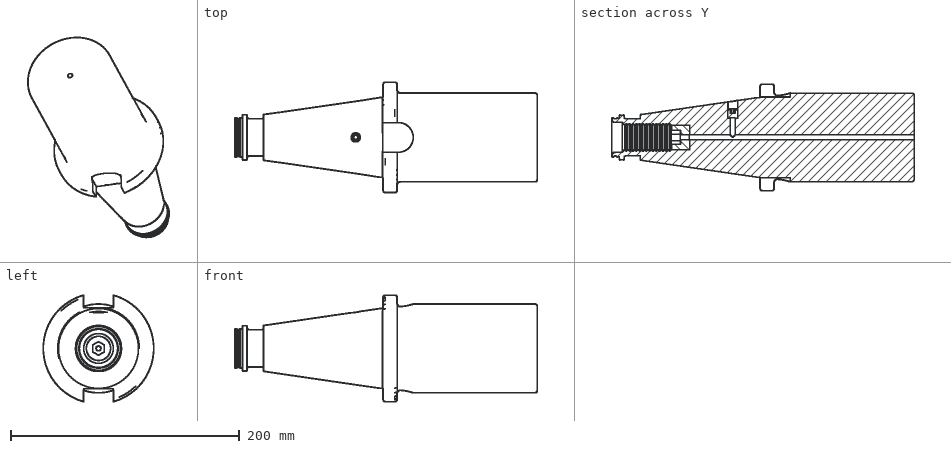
import cadquery as cq

LENGTH = 264.8
SHOULDER_X = 25.0
GAUGE_X = 126.8
GAUGE_RADIUS = 35.0
TAPER_SLOPE = 7 / 48
SHOULDER_CHAMFER = 0.65
FLANGE_X = 129.8
FLANGE_WIDTH = 12.5
FLANGE_END_X = FLANGE_X + FLANGE_WIDTH
FLANGE_RADIUS = 48.5
FLANGE_FILLET = 2.0
FLANGE_ROOT_FILLET = 0.8
BODY_RADIUS = 39.0
BODY_ROOT_FILLET = 2.6
BODY_END_FILLET = 2.0

TAIL_RADIUS = 17.2
TAIL_CHAMFER = 0.5
GROOVE_CENTER_X = 3.2
GROOVE_TOP_WIDTH = 3.5
GROOVE_FLOOR_WIDTH = 0.8
GROOVE_DEPTH = 0.8
COLLAR_X = 6.5
COLLAR_WIDTH = 4.5
COLLAR_END_X = COLLAR_X + COLLAR_WIDTH
COLLAR_RADIUS = 19.9
COLLAR_CHAMFER = 0.65
NECK_RADIUS = 16.5
COLLAR_ROOT_FILLET = 1.3
SHOULDER_ROOT_FILLET = 0.5

SLOT_WIDTH = 26.0
SLOT_END_X = 156.2
SLOT_FLOOR = 35.5
SLOT_ANGLES = (0, 180)

MOUTH_FILLET = 3.2
COUNTERBORE_RADIUS = 13.0
COUNTERBORE_END_X = 9.3
THREAD_X = 11.5
THREAD_RADIUS = 10.5
THREAD_ROOT_RADIUS = 12.0
THREAD_PITCH = 3.0
THREAD_TURNS = 14
CHANNEL_RADIUS = 1.99

PLUG_X = THREAD_X + THREAD_TURNS * THREAD_PITCH
PLUG_LENGTH = 16.0
PLUG_END_X = PLUG_X + PLUG_LENGTH
PLUG_SOCKET_FLATS = 10.3
PLUG_SOCKET_DEPTH = 8.0

SCREW_X = 106.0
SCREW_RADIUS = 4.0
SCREW_TOP = 25.2
SCREW_LENGTH = 8.0
SCREW_SEAT = SCREW_TOP - SCREW_LENGTH
SCREW_CHAMFER = 1.0
SCREW_SOCKET_FLATS = 3.5
SCREW_SOCKET_DEPTH = 4.0


def bar(radius, start, end):
    """Cylinder on the X axis between two x positions."""
    return cq.Workplane("YZ", origin=(start, 0, 0)).circle(radius).extrude(end - start)


def spin(outline):
    """Solid of revolution about the X axis from an open outline in the XZ plane."""
    return outline.close().revolve(360, (0, 0, 0), (1, 0, 0))


def upright_bar(radius, start, end):
    """Cylinder along Z through the screw position between two distances from the axis."""
    return cq.Workplane("XY", origin=(SCREW_X, 0, start)).circle(radius).extrude(end - start)


def hexagon_diameter(flats):
    """Corner-to-corner size of a hexagon given across its flats."""
    return flats * 2 / 3**0.5


def make_tail():
    """Tail end with its collar and the neck behind it."""
    end = bar(TAIL_RADIUS, 0, COLLAR_X).faces("<X").chamfer(TAIL_CHAMFER)
    collar = bar(COLLAR_RADIUS, COLLAR_X, COLLAR_END_X).edges().chamfer(COLLAR_CHAMFER)
    neck = spin(
        cq.Workplane("XZ")
        .moveTo(COLLAR_END_X, 0)
        .lineTo(COLLAR_END_X, NECK_RADIUS + COLLAR_ROOT_FILLET)
        .radiusArc((COLLAR_END_X + COLLAR_ROOT_FILLET, NECK_RADIUS), -COLLAR_ROOT_FILLET)
        .lineTo(SHOULDER_X - SHOULDER_ROOT_FILLET, NECK_RADIUS)
        .radiusArc((SHOULDER_X, NECK_RADIUS + SHOULDER_ROOT_FILLET), -SHOULDER_ROOT_FILLET)
        .lineTo(SHOULDER_X, 0)
    )
    return end.union(collar).union(neck)


def make_taper():
    """Cone from the shoulder to the gauge line, then a short cylinder up to the flange."""
    shoulder_radius = GAUGE_RADIUS - (GAUGE_X - SHOULDER_X) * TAPER_SLOPE
    chamfer_end_radius = shoulder_radius + SHOULDER_CHAMFER * TAPER_SLOPE
    return spin(
        cq.Workplane("XZ")
        .moveTo(SHOULDER_X, 0)
        .lineTo(SHOULDER_X, shoulder_radius - SHOULDER_CHAMFER)
        .lineTo(SHOULDER_X + SHOULDER_CHAMFER, chamfer_end_radius)
        .lineTo(GAUGE_X, GAUGE_RADIUS)
        .lineTo(FLANGE_X - FLANGE_ROOT_FILLET, GAUGE_RADIUS)
        .radiusArc((FLANGE_X, GAUGE_RADIUS + FLANGE_ROOT_FILLET), -FLANGE_ROOT_FILLET)
        .lineTo(FLANGE_X, 0)
    )


def make_flange():
    return bar(FLANGE_RADIUS, FLANGE_X, FLANGE_END_X).edges().fillet(FLANGE_FILLET)


def make_body():
    """Cylinder behind the flange, with a root fillet and a rounded end."""
    return spin(
        cq.Workplane("XZ")
        .moveTo(FLANGE_END_X, 0)
        .lineTo(FLANGE_END_X, BODY_RADIUS + BODY_ROOT_FILLET)
        .radiusArc((FLANGE_END_X + BODY_ROOT_FILLET, BODY_RADIUS), -BODY_ROOT_FILLET)
        .lineTo(LENGTH - BODY_END_FILLET, BODY_RADIUS)
        .radiusArc((LENGTH, BODY_RADIUS - BODY_END_FILLET), BODY_END_FILLET)
        .lineTo(LENGTH, 0)
    )


def make_tail_groove():
    """Cutter for the shallow groove with sloping walls round the tail."""
    floor_radius = TAIL_RADIUS - GROOVE_DEPTH
    return spin(
        cq.Workplane("XZ")
        .moveTo(GROOVE_CENTER_X - GROOVE_TOP_WIDTH / 2, TAIL_RADIUS)
        .lineTo(GROOVE_CENTER_X - GROOVE_FLOOR_WIDTH / 2, floor_radius)
        .lineTo(GROOVE_CENTER_X + GROOVE_FLOOR_WIDTH / 2, floor_radius)
        .lineTo(GROOVE_CENTER_X + GROOVE_TOP_WIDTH / 2, TAIL_RADIUS)
    )


def make_bore():
    """Cutter for the rounded mouth, counterbore, thread rings, plug seat and channel."""
    entry = spin(
        cq.Workplane("XZ")
        .lineTo(0, COUNTERBORE_RADIUS + MOUTH_FILLET)
        .radiusArc((MOUTH_FILLET, COUNTERBORE_RADIUS), -MOUTH_FILLET)
        .lineTo(COUNTERBORE_END_X, COUNTERBORE_RADIUS)
        .lineTo(THREAD_X, THREAD_RADIUS)
        .lineTo(THREAD_X, 0)
    )
    thread_ring = spin(
        cq.Workplane("XZ")
        .moveTo(THREAD_X, 0)
        .lineTo(THREAD_X, THREAD_RADIUS)
        .lineTo(THREAD_X + THREAD_PITCH / 2, THREAD_ROOT_RADIUS)
        .lineTo(THREAD_X + THREAD_PITCH, THREAD_RADIUS)
        .lineTo(THREAD_X + THREAD_PITCH, 0)
    )
    bore = entry.union(bar(THREAD_RADIUS, PLUG_X, PLUG_END_X))
    for turn in range(THREAD_TURNS):
        bore = bore.union(thread_ring.translate((turn * THREAD_PITCH, 0, 0)))
    return bore.union(bar(CHANNEL_RADIUS, PLUG_END_X, LENGTH))


def make_slot():
    """Cutter for the drive slot on the +Z side, with a round end inside the body."""
    half_width = SLOT_WIDTH / 2
    arc_center_x = SLOT_END_X - half_width
    return (
        cq.Workplane("XY", origin=(0, 0, SLOT_FLOOR))
        .moveTo(GAUGE_X, -half_width)
        .lineTo(arc_center_x, -half_width)
        .threePointArc((SLOT_END_X, 0), (arc_center_x, half_width))
        .lineTo(GAUGE_X, half_width)
        .close()
        .extrude(FLANGE_RADIUS - SLOT_FLOOR)
    )


def make_screw_hole():
    """Cutter for the radial screw hole and the cross channel from its seat to the axis."""
    hole = upright_bar(SCREW_RADIUS, SCREW_SEAT, GAUGE_RADIUS)
    return hole.union(upright_bar(CHANNEL_RADIUS, 0, SCREW_SEAT))


def make_holder():
    holder = make_tail().union(make_taper()).union(make_flange()).union(make_body())
    holder = holder.cut(make_tail_groove()).cut(make_bore()).cut(make_screw_hole())
    slot = make_slot()
    for angle in SLOT_ANGLES:
        holder = holder.cut(slot.rotate((0, 0, 0), (1, 0, 0), angle))
    return holder


def make_plug():
    """Plug with a hexagon socket facing the mouth and a coolant hole through it."""
    socket = (
        cq.Workplane("YZ", origin=(PLUG_X, 0, 0))
        .polygon(6, hexagon_diameter(PLUG_SOCKET_FLATS))
        .extrude(PLUG_SOCKET_DEPTH)
        .rotate((0, 0, 0), (1, 0, 0), 90)
    )
    coolant_hole = bar(CHANNEL_RADIUS, PLUG_X, PLUG_END_X)
    return bar(THREAD_RADIUS, PLUG_X, PLUG_END_X).cut(socket).cut(coolant_hole)


def make_radial_screw():
    """Grub screw that closes the cross channel, with its hexagon socket facing outward."""
    socket = (
        cq.Workplane("XY", origin=(SCREW_X, 0, SCREW_TOP))
        .polygon(6, hexagon_diameter(SCREW_SOCKET_FLATS))
        .extrude(-SCREW_SOCKET_DEPTH)
    )
    shank = upright_bar(SCREW_RADIUS, SCREW_SEAT, SCREW_TOP).faces(">Z").chamfer(SCREW_CHAMFER)
    return shank.cut(socket)


holder = make_holder()
plug = make_plug()
radial_screw = make_radial_screw()

result = cq.Compound.makeCompound([
    holder.solids().val(),
    plug.solids().val(),
    radial_screw.solids().val(),
])